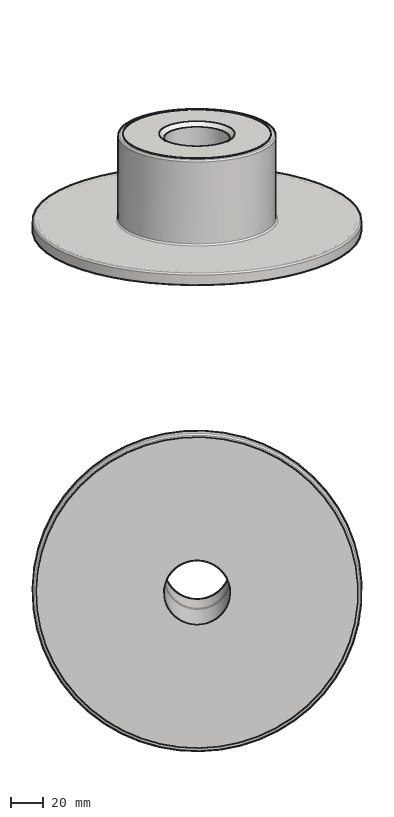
import cadquery as cq

flange_diameter = 200.0
flange_thickness = 8.0
total_height = 63.0
edge_radius = 1.0

jacket_tube_diameter = 96.0
jacket_tube_wall = 3.0

core_tube_diameter = jacket_tube_diameter - 2 * jacket_tube_wall
core_disc_diameter = 195.5
core_disc_cover = 0.5
core_protrusion = 0.5

bore_diameter = 40.0
lower_bore_diameter = 40.2
bore_mouth_diameter = 46.0
bore_mouth_depth = 2.5
bore_taper_top = 38.5
bore_taper_height = 2.0


def make_core():
    """Flanged tube with a bevelled bore mouth, revolved in one piece."""
    bore_radius = bore_diameter / 2
    lower_bore_radius = lower_bore_diameter / 2
    mouth_radius = bore_mouth_diameter / 2
    tube_radius = core_tube_diameter / 2
    disc_radius = core_disc_diameter / 2
    disc_top = flange_thickness - core_disc_cover
    profile = [
        (lower_bore_radius, 0),
        (disc_radius, 0),
        (disc_radius, disc_top),
        (tube_radius, disc_top),
        (tube_radius, total_height),
        (mouth_radius, total_height),
        (bore_radius, total_height - bore_mouth_depth),
        (bore_radius, bore_taper_top),
        (lower_bore_radius, bore_taper_top - bore_taper_height),
    ]
    core_body = cq.Workplane("XZ").polyline(profile).close().revolve(360, (0, 0), (0, 1))
    disc_rim = cq.selectors.RadiusNthSelector(-1)
    return core_body.edges(disc_rim).edges(">Z").fillet(edge_radius)


def make_jacket(core):
    """One-piece rounded skin over the flange and tube, recessed to fit the core."""
    jacket_height = total_height - core_protrusion
    flange = cq.Workplane("XY").circle(flange_diameter / 2).extrude(flange_thickness)
    flange = flange.edges().fillet(edge_radius)
    tube = cq.Workplane("XY").circle(jacket_tube_diameter / 2).extrude(jacket_height)
    tube = tube.edges(">Z").fillet(edge_radius)
    root_zone = cq.selectors.BoxSelector(
        (-jacket_tube_diameter, -jacket_tube_diameter, flange_thickness - edge_radius / 2),
        (jacket_tube_diameter, jacket_tube_diameter, flange_thickness + edge_radius / 2),
    )
    body = flange.union(tube)
    inner_edge = body.edges(root_zone).edges(cq.selectors.RadiusNthSelector(0))
    body = inner_edge.fillet(edge_radius)
    core_opening = cq.Workplane("XY").circle(core_tube_diameter / 2).extrude(total_height)
    return body.cut(core_opening).cut(core)


core = make_core()
jacket = make_jacket(core)
result = cq.Compound.makeCompound([core.val(), jacket.val()])